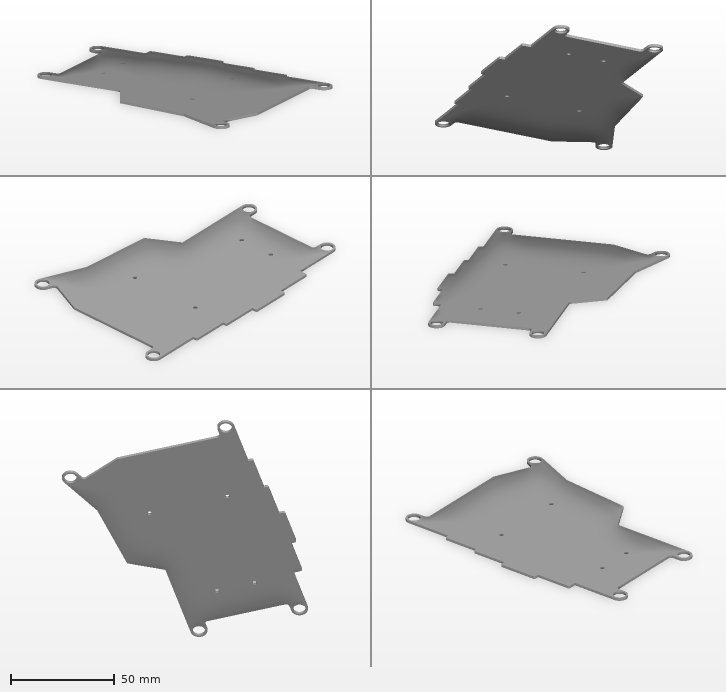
import cadquery as cq
import math

thickness = 1.35

lug_radius = 4.11
lug_hole_diameter = 6.1
lug_reach = 5.0
lug_root_radius = 1.75
lug_span_x = 126.0
lug_span_y = 50.8
lower_lug_center = (115.15, -81.64)
lower_lug_angle = -24.0

step_corner_radius = 0.75
step_1_x = 24.2
step_2_x = 43.3
step_3_x = 63.93
step_4_x = 82.8
step_5_x = 101.9
left_step_y = 8.6
peak_y = 11.33
right_step_y = 6.5

notch_x = 43.6
lower_left_corner = (53.0, -71.4)
lower_lug_edge_length = 24.8

screw_hole_diameter = 2.2
screw_hole_centers = [(23.0, -15.9), (23.0, -34.9), (82.0, -12.3), (82.0, -51.5)]

body_left = lug_reach
body_right = lug_span_x - lug_reach
upper_y = lug_radius
lower_y = -lug_span_y - lug_radius
lugs = [
    ((0, 0), 180),
    ((lug_span_x, 0), 0),
    ((0, -lug_span_y), 180),
    (lower_lug_center, lower_lug_angle),
]


def lug_point(center, angle, along, left):
    """Point at `along` a lug's direction and `left` of it, from its hole centre."""
    cos_a = math.cos(math.radians(angle))
    sin_a = math.sin(math.radians(angle))
    return (center[0] + along * cos_a - left * sin_a, center[1] + along * sin_a + left * cos_a)


def lower_lug_point(along, left):
    return lug_point(lower_lug_center, lower_lug_angle, along, left)


def make_body():
    tangent_point = lower_lug_point(0, -lug_radius)
    tangent_edge_start = lower_lug_point(-lower_lug_edge_length, -lug_radius)
    slant_foot = lower_lug_point(-lug_reach, 0)
    slant_rise = (body_right - slant_foot[0]) / math.tan(math.radians(-lower_lug_angle))
    slant_top = (body_right, slant_foot[1] + slant_rise)
    outline = [
        (body_left, upper_y),
        (step_1_x, upper_y),
        (step_1_x, left_step_y),
        (step_2_x, left_step_y),
        (step_2_x, peak_y),
        (step_3_x, peak_y),
        (step_3_x, left_step_y),
        (step_4_x, left_step_y),
        (step_4_x, right_step_y),
        (step_5_x, right_step_y),
        (step_5_x, upper_y),
        (body_right, upper_y),
        slant_top,
        slant_foot,
        lower_lug_center,
        tangent_point,
        tangent_edge_start,
        lower_left_corner,
        (notch_x, lower_y),
        (body_left, lower_y),
    ]
    return cq.Workplane("XY").polyline(outline).close().extrude(thickness)


def make_lug(center, angle):
    end = cq.Workplane("XY").center(*center).circle(lug_radius).extrude(thickness)
    root = [
        lug_point(center, angle, 0, lug_radius),
        lug_point(center, angle, 0, -lug_radius),
        lug_point(center, angle, -lug_reach, -lug_radius),
        lug_point(center, angle, -lug_reach, lug_radius),
    ]
    return end.union(cq.Workplane("XY").polyline(root).close().extrude(thickness))


def round_corners(plate, corners, radius):
    """Round the upright edges that stand on the given corner points."""
    for x, y in corners:
        edge = cq.selectors.NearestToPointSelector((x, y, thickness / 2))
        plate = plate.edges("|Z").edges(edge).fillet(radius)
    return plate


def drill(plate, centers, diameter):
    return plate.cut(cq.Workplane("XY").pushPoints(centers).circle(diameter / 2).extrude(thickness))


plate = make_body()
for center, angle in lugs:
    plate = plate.union(make_lug(center, angle))
plate = plate.clean()

lug_root_corners = [
    (body_left, -lug_radius),
    (body_right, -lug_radius),
    (body_left, lug_radius - lug_span_y),
    lower_lug_point(-lug_reach, lug_radius),
]
step_corners = [
    (step_1_x, left_step_y),
    (step_2_x, peak_y),
    (step_3_x, peak_y),
    (step_4_x, left_step_y),
    (step_5_x, right_step_y),
]
plate = round_corners(plate, lug_root_corners, lug_root_radius)
plate = round_corners(plate, step_corners, step_corner_radius)
plate = drill(plate, [center for center, angle in lugs], lug_hole_diameter)
plate = drill(plate, screw_hole_centers, screw_hole_diameter)

result = plate